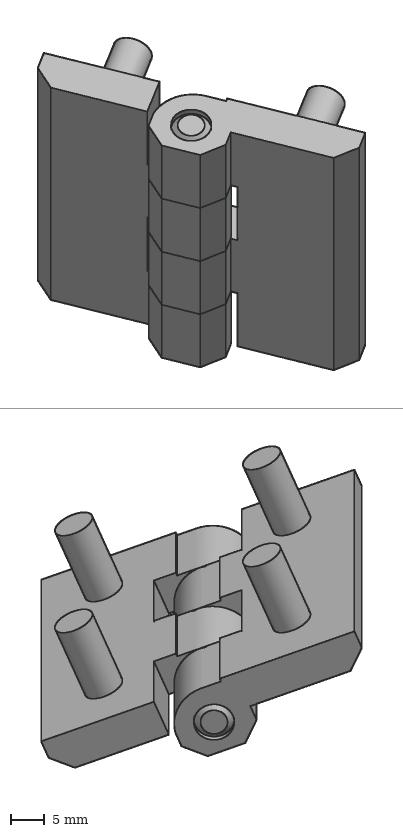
import cadquery as cq
import math

width = 50.0
height = 50.0

plate_thickness = 6.0
plate_chamfer = 3.0
edge_gap = 1.0

knuckle_count = 4
knuckle_height = height / knuckle_count
knuckle_half_width = 6.0
knuckle_front_chamfer = 3.0
back_clearance = 0.5
recess_half_width = 3.5
back_radius = 6.5
back_arc_rise = plate_thickness - back_clearance
back_arc_end_x = -knuckle_half_width + math.sqrt(back_arc_rise * (2 * back_radius - back_arc_rise))
knuckle_front_y = -11.5
plate_inner_x = knuckle_half_width + edge_gap

axis_y = -6.5
pin_diameter = 6.0
pin_end_chamfer = 1.0

stud_diameter = 6.0
stud_length = 12.0
stud_offset_x = 15.0
stud_offset_z = 15.0


def make_plate():
    """Full-height plate on the +X side, chamfered along its outer front edge."""
    outer_x = width / 2
    outline = [
        (plate_inner_x, 0),
        (outer_x, 0),
        (outer_x, -plate_thickness + plate_chamfer),
        (outer_x - plate_chamfer, -plate_thickness),
        (plate_inner_x, -plate_thickness),
    ]
    plate = cq.Workplane("XY").polyline(outline).close().extrude(height)
    return plate.translate((0, 0, -height / 2))


def make_knuckle(bottom_z):
    """One knuckle with the web that joins it to the plate on the +X side."""
    chamfer_start_y = knuckle_front_y + knuckle_front_chamfer
    front_half_width = knuckle_half_width - knuckle_front_chamfer
    knuckle = (
        cq.Workplane("XY")
        .moveTo(plate_inner_x, 0)
        .lineTo(plate_inner_x, -plate_thickness)
        .lineTo(knuckle_half_width, -plate_thickness)
        .lineTo(knuckle_half_width, chamfer_start_y)
        .lineTo(front_half_width, knuckle_front_y)
        .lineTo(-front_half_width, knuckle_front_y)
        .lineTo(-knuckle_half_width, chamfer_start_y)
        .lineTo(-knuckle_half_width, -plate_thickness)
        .radiusArc((back_arc_end_x, -back_clearance), back_radius)
        .lineTo(recess_half_width, -back_clearance)
        .lineTo(recess_half_width, 0)
        .close()
        .extrude(knuckle_height)
    )
    return knuckle.translate((0, 0, bottom_z))


def make_pin_blank():
    """Plain cylinder along the hinge axis, over the full height."""
    blank = cq.Workplane("XY").circle(pin_diameter / 2).extrude(height)
    return blank.translate((0, axis_y, -height / 2))


def make_leaf():
    """Leaf on the +X side: plate, every second knuckle from the top, and the pin bore."""
    leaf = make_plate()
    for level in range(1, knuckle_count, 2):
        leaf = leaf.union(make_knuckle(-height / 2 + level * knuckle_height))
    return leaf.cut(make_pin_blank())


def make_pin():
    """Hinge pin, flush with the leaves and chamfered at both ends."""
    return make_pin_blank().faces("<Z or >Z").chamfer(pin_end_chamfer)


def make_stud(x, z):
    """Cylindrical stud standing on the mounting face and pointing toward +Y."""
    stud = cq.Workplane("XZ").circle(stud_diameter / 2).extrude(-stud_length)
    return stud.translate((x, 0, z))


right_leaf = make_leaf()
left_leaf = right_leaf.rotate((0, 0, 0), (0, 1, 0), 180)
pin = make_pin()
studs = [
    make_stud(x, z)
    for x in (-stud_offset_x, stud_offset_x)
    for z in (-stud_offset_z, stud_offset_z)
]

result = cq.Compound.makeCompound(
    [right_leaf.val(), left_leaf.val(), pin.val(), *[stud.val() for stud in studs]]
)